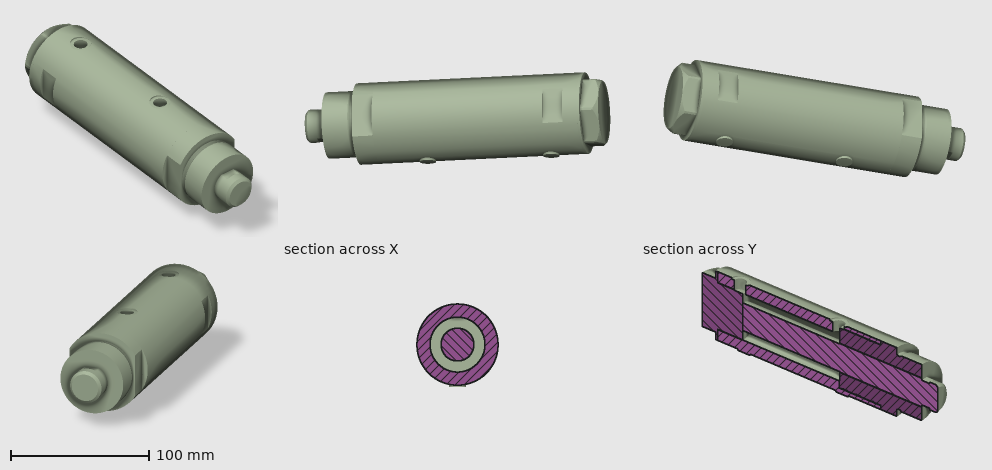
import cadquery as cq
import math

TOTAL_LENGTH = 218.5
HEX_LENGTH = 12.7
BARREL_START = 14.6
BARREL_END = 165.3
COLLAR_END = 180.5
GLAND_END = 203.3

BARREL_RADIUS = 29.5
BORE_RADIUS = 19.7
COUNTERBORE_START = 127.3
COUNTERBORE_RADIUS = 25.5
WRENCH_FLAT_START = 25.3
WRENCH_FLAT_LENGTH = 14.6
WRENCH_FLAT_OFFSET = 26.6
PORT_STATIONS = (35.4, 126.2)
PORT_RADIUS = 5.0
SPOTFACE_RADIUS = 7.6
SPOTFACE_DEPTH = 1.0
BOSS_SHIFT = 3.5
BOSS_DIAMETER = 12.0
BOSS_HEIGHT = 1.0

HEX_INRADIUS = 23.0
HEX_CORNER_RADIUS = 26.0
HEX_FACE_RADIUS = 22.7
HEX_TURN = 7.5
NOSE_END = 38.2

COLLAR_FLAT_OFFSET = 25.1
THREAD_RADIUS = 24.0
RELIEF_EDGE_RADIUS = 23.5
RELIEF_RADIUS = 23.0
RELIEF_ENTRY = 1.3
RELIEF_FLOOR_WIDTH = 1.3
RELIEF_EXIT = 1.3
RELIEF_FLOOR_START = COLLAR_END + RELIEF_ENTRY
RELIEF_FLOOR_END = RELIEF_FLOOR_START + RELIEF_FLOOR_WIDTH
RELIEF_END = RELIEF_FLOOR_END + RELIEF_EXIT

ROD_RADIUS = 12.0
ROD_CHAMFER = 2.0
ROD_FLAT_OFFSET = 10.7
ROD_FLAT_END = 210.3


def turned(profile):
    """Revolve an (x, radius) outline, closed along the X axis, about that axis."""
    axis_start = (profile[0][0], 0)
    axis_end = (profile[-1][0], 0)
    outline = cq.Workplane("XZ").polyline([axis_start, *profile, axis_end]).close()
    return outline.revolve(360, (0, 0, 0), (1, 0, 0))


def cylinder(start, end, radius):
    """Plain cylinder along X between two stations."""
    return turned([(start, radius), (end, radius)])


def slab_pair(start, length, offset):
    """Two blocks beyond y = +/-offset, used to cut a pair of parallel flats."""
    depth = BARREL_RADIUS
    blocks = cq.Workplane("XY")
    for side in (-1, 1):
        block = cq.Workplane("XY").box(length, depth, 2 * BARREL_RADIUS)
        blocks = blocks.add(block.translate((start + length / 2, side * (offset + depth / 2), 0)))
    return blocks.combine()


def upright_cylinder(x, radius, bottom, top):
    """Cylinder along Z centred on the XZ plane."""
    return cq.Workplane("XY", origin=(x, 0, bottom)).circle(radius).extrude(top - bottom)


def make_barrel():
    """Tube with a stepped bore, wrench flats, spotfaced ports on top and round bosses below."""
    barrel = cylinder(BARREL_START, BARREL_END, BARREL_RADIUS)
    boss_bottom = -BARREL_RADIUS - BOSS_HEIGHT
    for x in PORT_STATIONS:
        boss = upright_cylinder(x + BOSS_SHIFT, BOSS_DIAMETER / 2, boss_bottom, -COUNTERBORE_RADIUS)
        barrel = barrel.union(boss)
    barrel = barrel.cut(cylinder(BARREL_START, BARREL_END, BORE_RADIUS))
    barrel = barrel.cut(cylinder(COUNTERBORE_START, BARREL_END, COUNTERBORE_RADIUS))
    barrel = barrel.cut(slab_pair(WRENCH_FLAT_START, WRENCH_FLAT_LENGTH, WRENCH_FLAT_OFFSET))
    spotface_floor = BARREL_RADIUS - SPOTFACE_DEPTH
    for x in PORT_STATIONS:
        barrel = barrel.cut(upright_cylinder(x, SPOTFACE_RADIUS, spotface_floor, BARREL_RADIUS))
        barrel = barrel.cut(upright_cylinder(x, PORT_RADIUS, 0, BARREL_RADIUS))
    return barrel


def make_cap():
    """Chamfered hex head with a round flange and a nose that fills the start of the bore."""
    chamfer = HEX_CORNER_RADIUS - HEX_FACE_RADIUS
    blank = turned([(0, HEX_FACE_RADIUS), (chamfer, HEX_CORNER_RADIUS), (HEX_LENGTH, HEX_CORNER_RADIUS)])
    corner_diameter = 2 * HEX_INRADIUS / math.cos(math.pi / 6)
    hexagon = cq.Workplane("YZ").polygon(6, corner_diameter).extrude(HEX_LENGTH)
    flange_and_nose = turned([
        (HEX_LENGTH, BARREL_RADIUS),
        (BARREL_START, BARREL_RADIUS),
        (BARREL_START, BORE_RADIUS),
        (NOSE_END, BORE_RADIUS),
    ])
    cap = blank.intersect(hexagon).union(flange_and_nose)
    return cap.rotate((0, 0, 0), (1, 0, 0), -HEX_TURN)


def make_gland():
    """Spigot in the counterbore, collar with two flats, relief groove and threaded end, bored for the rod."""
    gland = turned([
        (COUNTERBORE_START, COUNTERBORE_RADIUS),
        (BARREL_END, COUNTERBORE_RADIUS),
        (BARREL_END, BARREL_RADIUS),
        (COLLAR_END, BARREL_RADIUS),
        (COLLAR_END, RELIEF_EDGE_RADIUS),
        (RELIEF_FLOOR_START, RELIEF_RADIUS),
        (RELIEF_FLOOR_END, RELIEF_RADIUS),
        (RELIEF_END, THREAD_RADIUS),
        (GLAND_END, THREAD_RADIUS),
    ])
    gland = gland.cut(slab_pair(BARREL_END, COLLAR_END - BARREL_END, COLLAR_FLAT_OFFSET))
    return gland.cut(cylinder(COUNTERBORE_START, GLAND_END, ROD_RADIUS))


def make_rod():
    """Rod from the cap nose out through the gland, with a chamfered tip and two flats."""
    rod = turned([
        (NOSE_END, ROD_RADIUS),
        (TOTAL_LENGTH - ROD_CHAMFER, ROD_RADIUS),
        (TOTAL_LENGTH, ROD_RADIUS - ROD_CHAMFER),
    ])
    flats = slab_pair(GLAND_END, ROD_FLAT_END - GLAND_END, ROD_FLAT_OFFSET)
    return rod.cut(flats.rotate((0, 0, 0), (1, 0, 0), 90))


barrel = make_barrel()
cap = make_cap()
gland = make_gland()
rod = make_rod()

result = cq.Compound.makeCompound([barrel.val(), cap.val(), gland.val(), rod.val()])